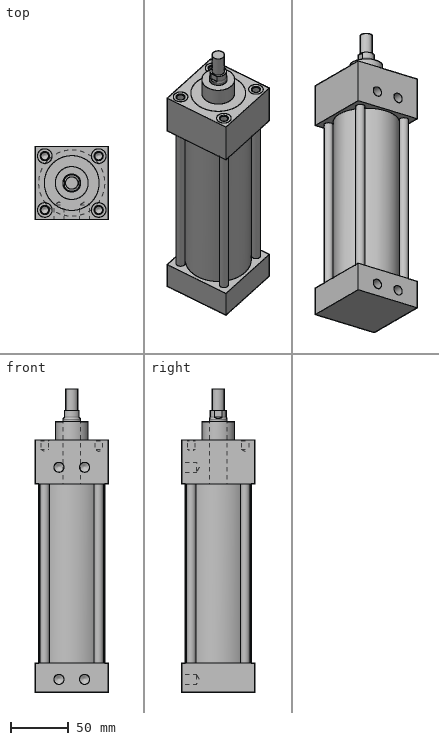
import cadquery as cq
import math

INCH = 25.4
total_height = 263.525

block_side = 2.5 * INCH
cap_height = 1.0 * INCH
head_height = 1.5 * INCH
tube_length = 6.125 * INCH
tube_diameter = 57.5
tie_rod_diameter = 8.0
tie_rod_offset = 23.4

nose_diameter = 1.125 * INCH
nose_height = 0.625 * INCH
gland_diameter = 1.875 * INCH
recess_depth = 0.1

socket_recess_diameter = 0.5 * INCH
socket_mouth_diameter = 7.9
socket_diameter = 6.6
socket_depth = 8.0

mount_hole_diameter = 8.7
mount_hole_spacing = 0.875 * INCH
mount_hole_depth = 0.5 * INCH
cap_hole_height = 11.2
head_hole_drop = 23.7
drill_point_angle = 118

rod_diameter = 15.6
rod_land_height = 1.85
rod_taper_height = 2.4
neck_diameter = 14.3
neck_height = 5.5
flat_width = 0.5 * INCH
flat_overrun = 0.3
flat_runout_angle = 45
stud_diameter = 10.8

head_bottom = cap_height + tube_length
head_top = head_bottom + head_height
nose_top = head_top + nose_height
recess_floor = head_top - recess_depth
taper_bottom = nose_top + rod_land_height
neck_bottom = taper_bottom + rod_taper_height
neck_top = neck_bottom + neck_height

tie_rod_points = [(x * tie_rod_offset, y * tie_rod_offset) for x in (-1, 1) for y in (-1, 1)]


def cylinder(diameter, bottom, top):
    return cq.Workplane("XY").workplane(offset=bottom).circle(diameter / 2).extrude(top - bottom)


def block(bottom, height):
    return cq.Workplane("XY").workplane(offset=bottom).rect(block_side, block_side).extrude(height)


def turned(profile):
    """Revolve a closed (radius, height) outline about the Z axis."""
    return cq.Workplane("XZ").polyline(profile).close().revolve(360, (0, 0), (0, 1))


def point_length(diameter):
    """Length of the conical end that a drill leaves."""
    return diameter / 2 / math.tan(math.radians(drill_point_angle / 2))


def mount_hole():
    """A drilled hole running along +Y from the origin."""
    radius = mount_hole_diameter / 2
    tip = mount_hole_depth + point_length(mount_hole_diameter)
    hole = turned([(0, 0), (radius, 0), (radius, -mount_hole_depth), (0, -tip)])
    return hole.rotate((0, 0, 0), (1, 0, 0), 90)


def tie_rod_socket():
    """Recess, chamfered mouth and drilled hole on the Z axis, opening at the top of the head."""
    recess_radius = socket_recess_diameter / 2
    mouth_radius = socket_mouth_diameter / 2
    radius = socket_diameter / 2
    chamfer_bottom = recess_floor - (mouth_radius - radius)
    hole_bottom = recess_floor - socket_depth
    return turned([
        (0, head_top),
        (recess_radius, head_top),
        (recess_radius, recess_floor),
        (mouth_radius, recess_floor),
        (radius, chamfer_bottom),
        (radius, hole_bottom),
        (0, hole_bottom - point_length(socket_diameter)),
    ])


def make_housing():
    """Cap, tube, tie rods, head and gland nose, bored for the piston rod."""
    housing = block(0, cap_height).union(block(head_bottom, head_height))
    housing = housing.union(cylinder(tube_diameter, cap_height, head_bottom))
    tie_rod = cylinder(tie_rod_diameter, cap_height, head_bottom)
    for x, y in tie_rod_points:
        housing = housing.union(tie_rod.translate((x, y, 0)))

    housing = housing.cut(cylinder(gland_diameter, recess_floor, head_top))
    housing = housing.union(cylinder(nose_diameter, recess_floor, nose_top))

    socket = tie_rod_socket()
    for x, y in tie_rod_points:
        housing = housing.cut(socket.translate((x, y, 0)))

    hole = mount_hole()
    for height in (cap_hole_height, head_top - head_hole_drop):
        for side in (-1, 1):
            position = (side * mount_hole_spacing / 2, -block_side / 2, height)
            housing = housing.cut(hole.translate(position))

    return housing.cut(cylinder(rod_diameter, head_bottom, nose_top))


def wrench_flat_cutter():
    """Cutter for the +X wrench flat, with a sloped runout at its lower end."""
    flat_x = flat_width / 2
    outer_x = rod_diameter / 2
    flat_bottom = neck_bottom - flat_overrun
    runout_drop = (outer_x - flat_x) / math.tan(math.radians(flat_runout_angle))
    profile = [
        (flat_x, flat_bottom),
        (outer_x, flat_bottom - runout_drop),
        (outer_x, neck_top),
        (flat_x, neck_top),
    ]
    return cq.Workplane("XZ").polyline(profile).close().extrude(rod_diameter, both=True)


def make_rod():
    """Piston rod reaching from the bottom of the head to the end of the stud."""
    rod = turned([
        (0, head_bottom),
        (rod_diameter / 2, head_bottom),
        (rod_diameter / 2, taper_bottom),
        (neck_diameter / 2, neck_bottom),
        (neck_diameter / 2, neck_top),
        (stud_diameter / 2, neck_top),
        (stud_diameter / 2, total_height),
        (0, total_height),
    ])
    cutter = wrench_flat_cutter()
    return rod.cut(cutter).cut(cutter.mirror("YZ"))


housing = make_housing()
rod = make_rod()
result = cq.Compound.makeCompound([housing.solids().val(), rod.solids().val()])